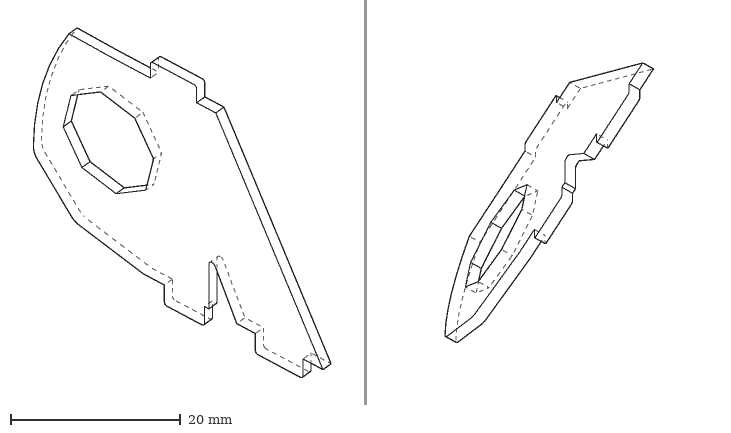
import cadquery as cq
import math

length = 45.05
thickness = 1.5
shelf_height = 30.0
shelf_end_x = 28.4

peak_x = 5.55
peak_height = 30.15
peak_slope_end_x = 11.95
bow_bottom = 9.4
bow_radius = 39.65
chin = (6.4, 2.35)
chin_end_x = 17.13
chin_radius = 2.35

top_tab = (18.2, 25.4)
bottom_tabs = ((20.35, 26.65), (34.52, 41.95))
total_height = 35.5
bottom_tab_depth = 2.97
top_tab_height = total_height - shelf_height - bottom_tab_depth
tab_radius = 0.45

notch_left = 27.3
notch_right = 31.65
notch_sharp_height = 8.9
notch_radius = 0.5

window_center = (11.67, 16.9)
window_radius = 7.1
window_sides = 8
window_turn = 9.8


def extrude(profile):
    """Extrude an XZ profile through the plate, centred on Y = 0."""
    return profile.extrude(thickness / 2, both=True)


def make_body():
    """Plate without tabs, notch or window."""
    chord_x = peak_x
    chord_z = peak_height - bow_bottom
    chord = math.hypot(chord_x, chord_z)
    bulge = bow_radius - math.sqrt(bow_radius**2 - (chord / 2) ** 2)
    bow_middle = (
        chord_x / 2 - bulge * chord_z / chord,
        bow_bottom + chord_z / 2 + bulge * chord_x / chord,
    )
    body = extrude(
        cq.Workplane("XZ")
        .moveTo(0, bow_bottom)
        .threePointArc(bow_middle, (peak_x, peak_height))
        .lineTo(peak_slope_end_x, shelf_height)
        .lineTo(shelf_end_x, shelf_height)
        .lineTo(length, 0)
        .lineTo(chin_end_x, 0)
        .lineTo(*chin)
        .close()
    )
    for x, z in ((0, bow_bottom), chin):
        corner = cq.selectors.NearestToPointSelector((x, 0, z))
        body = body.edges("|Y").edges(corner).fillet(chin_radius)
    return body


def make_tab(sides, base, height, outer_edges):
    """Rectangular tab standing on the level base, with rounded outer corners."""
    left, right = sides
    tab = extrude(
        cq.Workplane("XZ")
        .center((left + right) / 2, base + height / 2)
        .rect(right - left, abs(height))
    )
    return tab.faces(outer_edges).edges("|Y").fillet(tab_radius)


def make_notch():
    """Tapered cutter whose upper tip is rounded."""
    notch = extrude(
        cq.Workplane("XZ")
        .moveTo(notch_left, 0)
        .lineTo(notch_left, notch_sharp_height)
        .lineTo(notch_right, 0)
        .close()
    )
    return notch.edges("|Y").edges(">Z").fillet(notch_radius)


def make_window():
    """Regular octagonal cutter, turned about its own centre."""
    return extrude(
        cq.Workplane("XZ")
        .center(*window_center)
        .transformed(rotate=(0, 0, window_turn))
        .polygon(window_sides, 2 * window_radius)
    )


result = make_body()
result = result.union(make_tab(top_tab, shelf_height, top_tab_height, ">Z"))
for tab_sides in bottom_tabs:
    result = result.union(make_tab(tab_sides, 0, -bottom_tab_depth, "<Z"))
result = result.cut(make_notch()).cut(make_window())